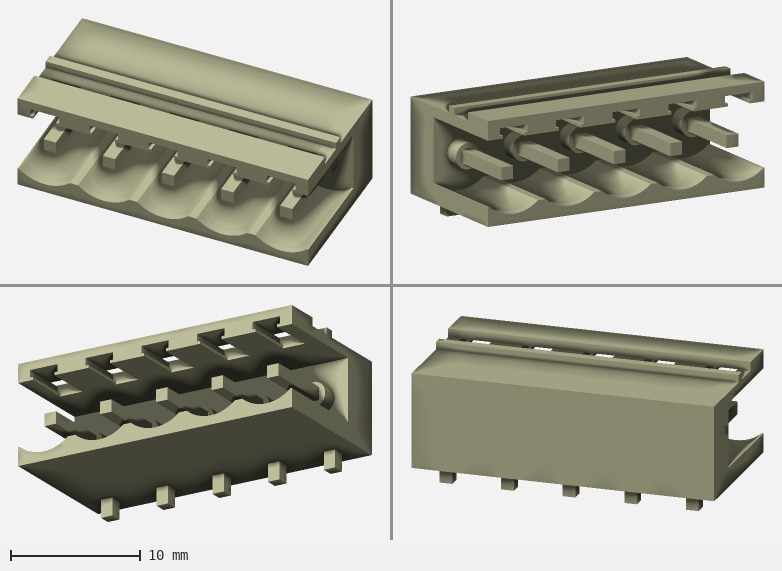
import cadquery as cq


LENGTH = 24.6
DEPTH = 12.0
HOUSING_HEIGHT = 7.72
BACK_WALL = 3.55
LOWER_SHELF = 1.57
UPPER_SHELF = 1.57
FRONT_LIP_HEIGHT = 8.45
FRONT_LIP_DEPTH = 3.12
RIB_WIDTH = 0.79
RIB_HEIGHT = 0.6
RIB_FROM_BACK = 5.98

FRONT_Y = -DEPTH / 2
BACK_Y = DEPTH / 2
WALL_Y = BACK_Y - BACK_WALL
UPPER_SHELF_Z = FRONT_LIP_HEIGHT - UPPER_SHELF

CONTACT_COUNT = 5
END_MARGIN = 2.3
PITCH = (LENGTH - 2 * END_MARGIN) / (CONTACT_COUNT - 1)
CONTACT_X = [(i - (CONTACT_COUNT - 1) / 2) * PITCH for i in range(CONTACT_COUNT)]

SCALLOP_WIDTH = 4.33
SCALLOP_DEPTH = 0.8

SLOT_WIDTH = 2.45
SLOT_MOUTH_WIDTH = 1.95
SLOT_LIP = 0.25
SLOT_DEPTH = 4.13

PIN_SIZE = 1.03
PIN_Z = 3.8
PIN_SETBACK = 0.98
TAIL_LENGTH = 1.5
TAIL_FROM_BACK = 2.02
BOSS_DIAMETER = 2.12
BOSS_LENGTH = 1.4

TAIL_Y = BACK_Y - TAIL_FROM_BACK


def box(x, y, z):
    """Box spanning the given (low, high) range on each axis."""
    size = (x[1] - x[0], y[1] - y[0], z[1] - z[0])
    return cq.Workplane("XY").box(*size, centered=False).translate((x[0], y[0], z[0]))


def make_body():
    """C-shaped profile, with the front lip and the top rib, along the whole length."""
    lip_y = FRONT_Y + FRONT_LIP_DEPTH
    rib_back_y = BACK_Y - RIB_FROM_BACK
    rib_front_y = rib_back_y - RIB_WIDTH
    rib_top_z = HOUSING_HEIGHT + RIB_HEIGHT
    return (
        cq.Workplane("YZ")
        .moveTo(FRONT_Y, 0)
        .lineTo(BACK_Y, 0)
        .lineTo(BACK_Y, HOUSING_HEIGHT)
        .lineTo(rib_back_y, HOUSING_HEIGHT)
        .lineTo(rib_back_y, rib_top_z)
        .lineTo(rib_front_y, rib_top_z)
        .lineTo(rib_front_y, HOUSING_HEIGHT)
        .lineTo(lip_y, HOUSING_HEIGHT)
        .lineTo(lip_y, FRONT_LIP_HEIGHT)
        .lineTo(FRONT_Y, FRONT_LIP_HEIGHT)
        .lineTo(FRONT_Y, UPPER_SHELF_Z)
        .lineTo(WALL_Y, UPPER_SHELF_Z)
        .lineTo(WALL_Y, LOWER_SHELF)
        .lineTo(FRONT_Y, LOWER_SHELF)
        .close()
        .extrude(LENGTH / 2, both=True)
    )


def make_scallop(x):
    """Shallow circular segment cut into the lower shelf, from the front to the wall."""
    half = SCALLOP_WIDTH / 2
    return (
        cq.Workplane("XZ", origin=(x, WALL_Y, LOWER_SHELF))
        .moveTo(-half, 0)
        .threePointArc((0, -SCALLOP_DEPTH), (half, 0))
        .close()
        .extrude(WALL_Y - FRONT_Y)
    )


def make_slot(x):
    """T slot, open at the front, at the underside and through the main top surface behind the lip."""
    y_range = (FRONT_Y, FRONT_Y + SLOT_DEPTH)
    lip_z = UPPER_SHELF_Z + SLOT_LIP
    mouth = box((x - SLOT_MOUTH_WIDTH / 2, x + SLOT_MOUTH_WIDTH / 2), y_range, (UPPER_SHELF_Z, lip_z))
    head = box((x - SLOT_WIDTH / 2, x + SLOT_WIDTH / 2), y_range, (lip_z, HOUSING_HEIGHT))
    return mouth.union(head)


def make_boss(x):
    """Round boss standing on the wall around a pin."""
    return (
        cq.Workplane("XZ", origin=(x, WALL_Y, PIN_Z))
        .circle(BOSS_DIAMETER / 2)
        .extrude(BOSS_LENGTH)
    )


def make_pin(x):
    """Square L-shaped pin: a contact pointing forward and a tail pointing down."""
    half = PIN_SIZE / 2
    x_range = (x - half, x + half)
    contact = box(x_range, (FRONT_Y + PIN_SETBACK, TAIL_Y + half), (PIN_Z - half, PIN_Z + half))
    tail = box(x_range, (TAIL_Y - half, TAIL_Y + half), (-TAIL_LENGTH, PIN_Z + half))
    return contact.union(tail).clean()


def make_housing(pins):
    """Housing with its recesses, slots and bosses, and a matching passage for each pin."""
    housing = make_body()
    for x in CONTACT_X:
        housing = housing.cut(make_scallop(x)).cut(make_slot(x)).union(make_boss(x))
    for pin in pins:
        housing = housing.cut(pin)
    return housing


pins = [make_pin(x) for x in CONTACT_X]
housing = make_housing(pins)

result = cq.Compound.makeCompound([housing.val(), *[pin.val() for pin in pins]])